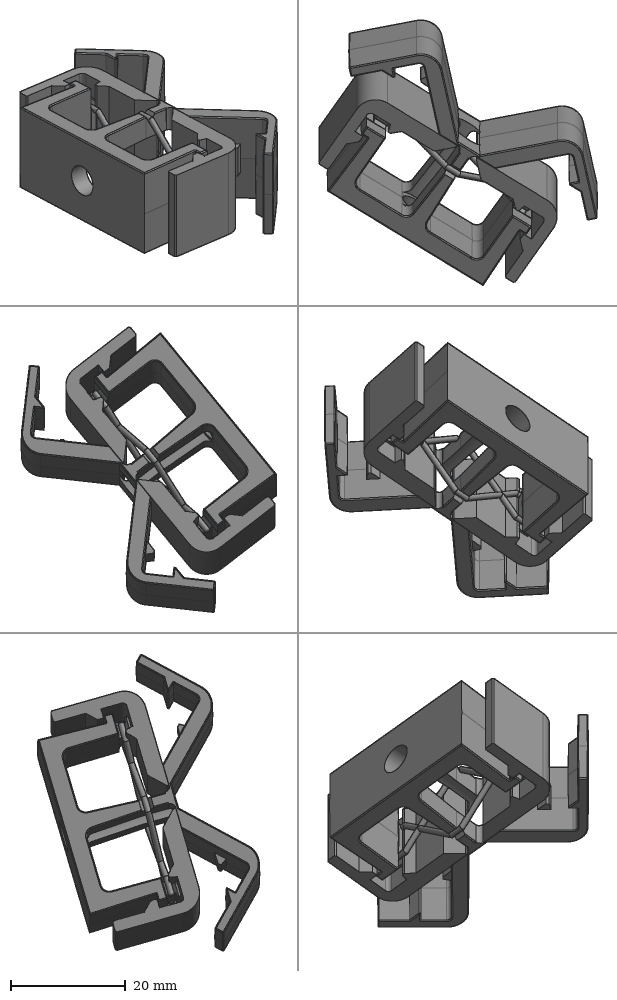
import cadquery as cq
import math

half_height = 8.0
draft = 0.5
edge_chamfer = 0.2
chamfer_angle = 45.0
clip_overhang = 0.15

arm_thickness = 3.1
arm_tip = 0.35
corner_radius = 7.7 / 2
inner_radius = 0.8
catch_reach = 1.65
tooth_start = 6.5
tooth_width = 2.4
tooth_depth = 1.4
tooth_lean = 0.35
tooth_tip = 0.5

clip_corner_x = -20.5
clip_top = 19.7
clip_arm_length = 18.35
clip_leg_length = 16.2
clip_leg_thickness = 2.05
clip_leg_chamfer = 0.25
clip_catch_drop = 7.6
clip_catch_flat = 1.15

floor_half_width = 16.3
floor_thickness = 3.45
floor_stock = 1.05
wall_outer_top = 15.95
wall_inner_top = 13.2
wall_inner_bottom = 13.1
wall_top = 13.95
lip_reach = 17.3
lip_bottom = 12.15
web_half_bottom = 1.65
web_half_top = 1.1
well_radius = 1.4
hinge_bottom = 19.75
hinge_top = 20.25
hinge_half_width = 2.6
hinge_radius = 1.05
screw_diameter = 5.6
head_diameter = 7.7

wing_corner_x = -14.75
wing_corner_y = 32.8
wing_angle = -45.0
wing_arm_stock = 0.5
wing_arm_length = (wing_corner_y - hinge_bottom) * math.sqrt(2) - arm_tip + wing_arm_stock
wing_leg_length = 15.95
wing_leg_thickness = 1.9
wing_leg_chamfer = 0.2
wing_catch_drop = 8.35
wing_catch_flat = 0.4
wing_tooth_half_height = 2.8

wire_diameter = 1.1
wire_radius = wire_diameter / 2
wire_y = 15.0
wire_half_length = 16.05
wire_end_z = 3.25
wire_end_bend = 12.65
wire_web_z = 7.2
wire_web_bend = 1.25
wire_end_fillet = 0.2

slot_half_width = 1.11
post_half_height = wire_end_z + half_height - wire_web_z
post_outer = 15.8
post_inner = 13.35
post_hook_reach = 16.6
post_hook_bottom = 15.85
post_top = 16.5
post_step_x = 14.05
post_step_y = 15.1


def mirrored_pair(body):
    """Return the left body and its copy on the right."""
    return [body, body.mirror("YZ")]


def arm_outline(arm_length, leg_length, leg_thickness, leg_chamfer, catch_drop, catch_flat):
    """Corner at the origin, arm along +X, leg along -Y, catch on the leg."""
    catch_x = leg_thickness + catch_reach
    slope_start = catch_drop + catch_flat
    arm_inner_end = arm_length + arm_tip - arm_thickness
    bend = corner_radius * (1 - math.sqrt(0.5))
    inner_bend = inner_radius * (1 - math.sqrt(0.5))
    return (
        cq.Workplane("XY")
        .moveTo(corner_radius, 0)
        .lineTo(arm_length, 0)
        .lineTo(arm_length, -arm_tip)
        .lineTo(arm_inner_end, -arm_thickness)
        .lineTo(leg_thickness + inner_radius, -arm_thickness)
        .threePointArc(
            (leg_thickness + inner_bend, -arm_thickness - inner_bend),
            (leg_thickness, -arm_thickness - inner_radius),
        )
        .lineTo(leg_thickness, -catch_drop)
        .lineTo(catch_x, -catch_drop)
        .lineTo(catch_x, -slope_start)
        .lineTo(leg_thickness, -slope_start - catch_reach)
        .lineTo(leg_thickness, -leg_length + leg_chamfer)
        .lineTo(leg_thickness - leg_chamfer, -leg_length)
        .lineTo(leg_chamfer, -leg_length)
        .lineTo(0, -leg_length + leg_chamfer)
        .lineTo(0, -corner_radius)
        .threePointArc((bend, -bend), (corner_radius, 0))
        .close()
    )


def tooth(bottom, top):
    """Tooth under the arm, between two heights."""
    root = -arm_thickness
    tip = root - tooth_depth
    tip_start = tooth_start + tooth_lean
    return (
        cq.Workplane("XY", origin=(0, 0, bottom))
        .polyline([
            (tooth_start, root + arm_thickness / 2),
            (tooth_start, root),
            (tip_start, tip),
            (tip_start + tooth_tip, tip),
            (tooth_start + tooth_width, root),
            (tooth_start + tooth_width, root + arm_thickness / 2),
        ])
        .close()
        .extrude(top - bottom)
    )


def drafted(outline):
    """Extrude both ways from the parting plane, narrowing toward chamfered ends."""
    upper = outline.extrude(half_height - edge_chamfer, taper=draft)
    rim = upper.faces(">Z").wires().toPending().workplane()
    upper = rim.extrude(edge_chamfer, taper=chamfer_angle)
    return upper.union(upper.mirror("XY"))


def slab_below(y):
    """Wide trimming block under a level in Y."""
    depth = 2 * floor_stock
    return cq.Workplane("XY").box(3 * lip_reach, depth, 3 * half_height).translate((0, y - depth / 2, 0))


def wire_strand():
    """Strand that crosses the web at the top."""
    path = cq.Workplane("XZ", origin=(0, wire_y, 0)).polyline([
        (-wire_half_length, -wire_end_z),
        (-wire_end_bend, -wire_end_z),
        (-wire_web_bend, wire_web_z),
        (wire_web_bend, wire_web_z),
        (wire_end_bend, -wire_end_z),
        (wire_half_length, -wire_end_z),
    ])
    strand = (
        cq.Workplane("YZ", origin=(-wire_half_length, wire_y, -wire_end_z))
        .circle(wire_radius)
        .sweep(path, transition="right")
    )
    return strand.faces("<X or >X").edges().fillet(wire_end_fillet)


def make_wire():
    strand = wire_strand()
    return strand.union(strand.mirror("XY"))


def base_half_outline():
    """Corners of the right half, from the floor round to the web."""
    return [
        (floor_half_width, -floor_stock),
        (floor_half_width, 0),
        (wall_outer_top, lip_bottom),
        (lip_reach, lip_bottom),
        (lip_reach, wall_top),
        (wall_inner_top, wall_top),
        (wall_inner_bottom, floor_thickness),
        (web_half_bottom, floor_thickness),
        (web_half_top, wall_top),
        (web_half_top, hinge_top),
    ]


def near(x, y):
    """Selector for the outline corner at a point."""
    reach = 0.05
    return cq.selectors.BoxSelector((x - reach, y - reach, -reach), (x + reach, y + reach, reach))


def base_block():
    """Floor, two lipped walls and web."""
    right = base_half_outline()
    left = [(-x, y) for x, y in reversed(right)]
    outline = cq.Sketch().polygon(right + left + right[:1])
    for side in (-1, 1):
        for x in (wall_inner_bottom, web_half_bottom):
            corner = near(side * x, floor_thickness)
            outline = outline.reset().vertices(corner).fillet(well_radius)
    block = drafted(cq.Workplane("XY").placeSketch(outline.reset()))
    block = block.cut(slab_below(0))
    return block.faces("<Y").edges("|X").chamfer(edge_chamfer)


def hinge_strip():
    """Thin strip across the web, rounded into it, that carries both wings."""
    round_start = web_half_top + hinge_radius
    strip = (
        cq.Workplane("XY", origin=(0, 0, -half_height))
        .moveTo(-hinge_half_width, hinge_top)
        .lineTo(-hinge_half_width, hinge_bottom)
        .lineTo(-round_start, hinge_bottom)
        .radiusArc((-web_half_top, hinge_bottom - hinge_radius), hinge_radius)
        .lineTo(web_half_top, hinge_bottom - hinge_radius)
        .radiusArc((round_start, hinge_bottom), hinge_radius)
        .lineTo(hinge_half_width, hinge_bottom)
        .lineTo(hinge_half_width, hinge_top)
        .close()
        .extrude(2 * half_height)
    )
    return strip.faces(">Y").edges("|X").chamfer(edge_chamfer)


def wing():
    """Open left wing, with a short tooth, turned out on its hinge."""
    shape = drafted(
        arm_outline(
            wing_arm_length,
            wing_leg_length,
            wing_leg_thickness,
            wing_leg_chamfer,
            wing_catch_drop,
            wing_catch_flat,
        )
    )
    shape = shape.union(tooth(-wing_tooth_half_height, wing_tooth_half_height))
    turned = shape.rotate((0, 0, 0), (0, 0, 1), wing_angle)
    placed = turned.translate((wing_corner_x, wing_corner_y, 0))
    return placed.cut(slab_below(hinge_bottom))


def wire_post():
    """Post on the left wall that carries both wire ends."""
    root = (lip_bottom + wall_top) / 2
    return (
        cq.Workplane("XY", origin=(0, 0, -post_half_height))
        .polyline([
            (-post_outer, root),
            (-post_inner, root),
            (-post_inner, post_step_y),
            (-post_step_x, post_step_y),
            (-post_step_x, post_top),
            (-post_hook_reach, post_top),
            (-post_hook_reach, post_hook_bottom),
            (-post_outer, post_hook_bottom),
        ])
        .close()
        .extrude(2 * post_half_height)
    )


def wire_slot(x_start, x_end, axis_z):
    """V-slot along X with a round bottom that fits the wire, open toward +Z."""
    mouth = half_height - wire_web_z
    return (
        cq.Workplane("YZ", origin=(x_start, wire_y, axis_z))
        .moveTo(-wire_radius, 0)
        .threePointArc((0, -wire_radius), (wire_radius, 0))
        .lineTo(slot_half_width, mouth)
        .lineTo(-slot_half_width, mouth)
        .close()
        .extrude(x_end - x_start)
    )


def bore(diameter, start_y, end_y):
    """Round cutter along Y on the part's centre line."""
    return cq.Workplane("XZ", origin=(0, end_y, 0)).circle(diameter / 2).extrude(end_y - start_y)


def make_base():
    base = base_block()
    base = base.union(hinge_strip())
    for body in mirrored_pair(wing()) + mirrored_pair(wire_post()):
        base = base.union(body)
    base = base.cut(bore(screw_diameter, 0, hinge_top))
    base = base.cut(bore(head_diameter, floor_thickness, hinge_top))
    web_slot = wire_slot(-wire_web_bend, wire_web_bend, wire_web_z)
    left_slot = wire_slot(-lip_reach, -wall_inner_bottom, wire_end_z)
    for slot in [web_slot] + mirrored_pair(left_slot):
        base = base.cut(slot).cut(slot.mirror("XY"))
    return base


def make_left_clip(wire):
    """Closed clip whose tooth is grooved where it meets the wire."""
    bottom = -half_height - clip_overhang
    outline = arm_outline(
        clip_arm_length,
        clip_leg_length,
        clip_leg_thickness,
        clip_leg_chamfer,
        clip_catch_drop,
        clip_catch_flat,
    )
    clip = outline.extrude(half_height - bottom)
    clip = clip.translate((0, 0, bottom)).union(tooth(bottom, half_height))
    return clip.translate((clip_corner_x, clip_top, 0)).cut(wire)


wire = make_wire()
base = make_base()
clips = mirrored_pair(make_left_clip(wire))
result = cq.Compound.makeCompound([base.val(), wire.val(), *[clip.val() for clip in clips]])